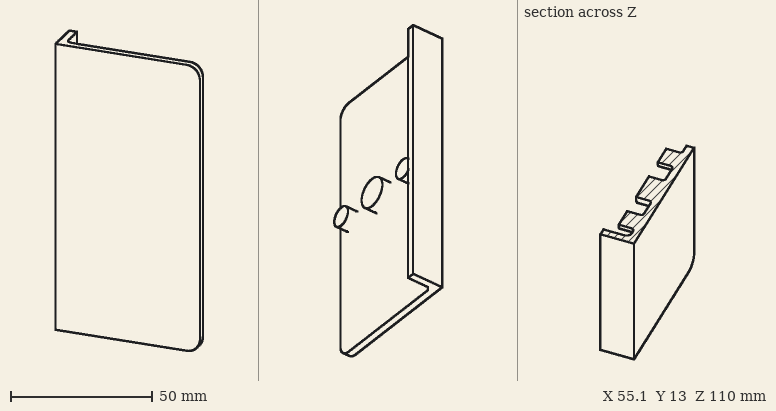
import cadquery as cq
import math

plate_width = 55.1
plate_height = 110.0
plate_thickness = 3.0
corner_radius = 5.0

flange_depth = 13.0
flange_thickness = 3.0
flange_fillet = 2.0

boss_top = 9.0
boss_fillet = 1.0
center_boss_diameter = 12.0
side_boss_diameter = 8.0
center_boss_x = 29.0
side_boss_spacing = 17.85
boss_z = plate_height / 2
boss_root = plate_thickness / 2


def make_angle():
    """L-shaped section extruded to full height, filleted in its inner corner."""
    section = (
        cq.Workplane("XY")
        .polyline([
            (0, 0),
            (plate_width, 0),
            (plate_width, plate_thickness),
            (flange_thickness, plate_thickness),
            (flange_thickness, flange_depth),
            (0, flange_depth),
        ])
        .close()
    )
    angle = section.extrude(plate_height)
    inner_corner = cq.NearestToPointSelector((flange_thickness, plate_thickness, plate_height / 2))
    angle = angle.edges("|Z").edges(inner_corner).fillet(flange_fillet)
    return angle.faces(">X").edges("|Y").fillet(corner_radius)


def make_boss(x, diameter):
    """Solid boss along Y, revolved with a concave fillet at its foot."""
    radius = diameter / 2
    foot_arc_center = (radius + boss_fillet, plate_thickness + boss_fillet)
    arc_reach = boss_fillet * math.sqrt(0.5)
    arc_middle = (foot_arc_center[0] - arc_reach, foot_arc_center[1] - arc_reach)
    profile = (
        cq.Workplane("XY")
        .moveTo(0, boss_root)
        .lineTo(radius + boss_fillet, boss_root)
        .lineTo(radius + boss_fillet, plate_thickness)
        .threePointArc(arc_middle, (radius, plate_thickness + boss_fillet))
        .lineTo(radius, boss_top)
        .lineTo(0, boss_top)
        .close()
    )
    return profile.revolve(360, (0, 0, 0), (0, 1, 0)).translate((x, 0, boss_z))


result = make_angle()
result = result.union(make_boss(center_boss_x, center_boss_diameter))
for side in (-1, 1):
    result = result.union(make_boss(center_boss_x + side * side_boss_spacing, side_boss_diameter))